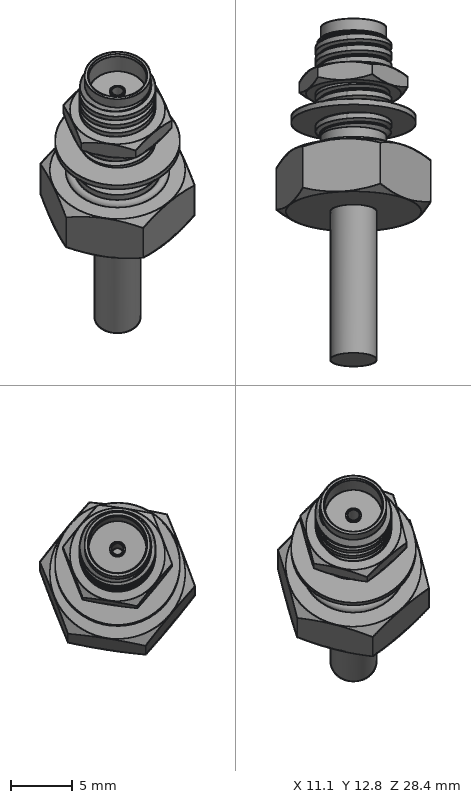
import cadquery as cq
import math

total_length = 28.35

body_hex_bottom = 12.67
body_hex_top = 17.2
ring_top = 17.52
collar_top = 17.97
thread_bottom = 19.08
washer_bottom = 20.25
washer_top = 20.72
nut_bottom = 22.75
nut_top = 24.3
thread_top = 27.35

cable_radius = 1.9
barrel_radius = 2.7
collar_radius = 3.55
washer_radius = 5.1

body_hex_flats = 11.1
body_hex_face_radius = 5.53
nut_flats = 7.82
nut_face_radius = 3.88
hex_chamfer_angle = 30.0
hex_turn = 30.0
hex_envelope_margin = 0.28

ring_section_radius = 0.4
ring_radius = 3.85

thread_radius = 3.12
thread_root_radius = 2.78
thread_pitch = 0.95
thread_turns = 11
groove_start = 17.5
rod_margin = 2.55
groove_root_width = 0.1
groove_half_angle = 30.0
groove_overshoot = 0.15

bore_radius = 2.35
bore_depth = 1.95
bore_mouth_radius = 2.45
bore_mouth_depth = 0.2

contact_radius = 0.62
contact_hole_radius = 0.48
contact_rise = 0.1
contact_hole_depth = 1.98


def cylinder(radius, bottom, top):
    return cq.Workplane("XY").workplane(offset=bottom).circle(radius).extrude(top - bottom)


def revolved(profile):
    """Turn a closed (radius, height) outline about the Z axis."""
    return cq.Workplane("XZ").polyline(profile).close().revolve(360, (0, 0), (0, 1))


def chamfered_hexagon(flats, face_radius, bottom, top):
    """Hexagon with two flats facing +X and -X, turned down at the corners of both ends."""
    corner_radius = flats / math.sqrt(3)
    slope = math.tan(math.radians(hex_chamfer_angle))
    outer_radius = corner_radius + hex_envelope_margin
    drop = (outer_radius - face_radius) * slope
    prism = (
        cq.Workplane("XY")
        .workplane(offset=bottom)
        .polygon(6, 2 * corner_radius)
        .extrude(top - bottom)
        .rotate((0, 0, 0), (0, 0, 1), hex_turn)
    )
    envelope = revolved([
        (0, bottom),
        (face_radius, bottom),
        (outer_radius, bottom + drop),
        (outer_radius, top - drop),
        (face_radius, top),
        (0, top),
    ])
    return prism.intersect(envelope)


def threaded_barrel():
    """Barrel with 45 degree ends and a trapezoidal groove cut along a helix.

    The groove is cut in an overlong rod, which is then turned down to the barrel.
    """
    chamfer = thread_radius - barrel_radius
    barrel = revolved([
        (0, thread_bottom),
        (barrel_radius, thread_bottom),
        (thread_radius, thread_bottom + chamfer),
        (thread_radius, thread_top - chamfer),
        (barrel_radius, thread_top),
        (0, thread_top),
    ])
    groove_outer_radius = thread_radius + groove_overshoot
    root_half = groove_root_width / 2
    flank_rise = (groove_outer_radius - thread_root_radius) * math.tan(math.radians(groove_half_angle))
    outer_half = root_half + flank_rise
    helix = cq.Wire.makeHelix(thread_pitch, thread_pitch * thread_turns, thread_root_radius)
    groove = (
        cq.Workplane("XZ")
        .polyline([
            (thread_root_radius, -root_half),
            (groove_outer_radius, -outer_half),
            (groove_outer_radius, outer_half),
            (thread_root_radius, root_half),
        ])
        .close()
        .sweep(cq.Workplane(obj=helix), isFrenet=True)
        .translate((0, 0, groove_start))
    )
    rod = cylinder(thread_radius, thread_bottom - rod_margin, thread_top + rod_margin)
    return rod.cut(groove).intersect(barrel)


def o_ring():
    return (
        cq.Workplane("XZ")
        .center(ring_radius, ring_top - ring_section_radius)
        .circle(ring_section_radius)
        .revolve(360, (-ring_radius, 0), (-ring_radius, 1))
    )


def socket():
    """Bore with a flared mouth, leaving the tubular contact standing on its floor."""
    floor = total_length - bore_depth
    contact_top = floor + contact_rise
    bore = revolved([
        (0, floor),
        (bore_radius, floor),
        (bore_radius, total_length - bore_mouth_depth),
        (bore_mouth_radius, total_length),
        (0, total_length),
    ])
    contact = cylinder(contact_radius, floor, contact_top)
    contact_hole = cylinder(contact_hole_radius, contact_top - contact_hole_depth, contact_top)
    return bore.cut(contact).union(contact_hole)


result = threaded_barrel()
for piece in (
    cylinder(cable_radius, 0, body_hex_bottom),
    chamfered_hexagon(body_hex_flats, body_hex_face_radius, body_hex_bottom, body_hex_top),
    o_ring(),
    cylinder(collar_radius, body_hex_top, collar_top),
    cylinder(barrel_radius, collar_top, thread_bottom),
    cylinder(washer_radius, washer_bottom, washer_top),
    chamfered_hexagon(nut_flats, nut_face_radius, nut_bottom, nut_top),
    cylinder(barrel_radius, thread_top, total_length),
):
    result = result.union(piece)
result = result.cut(socket())